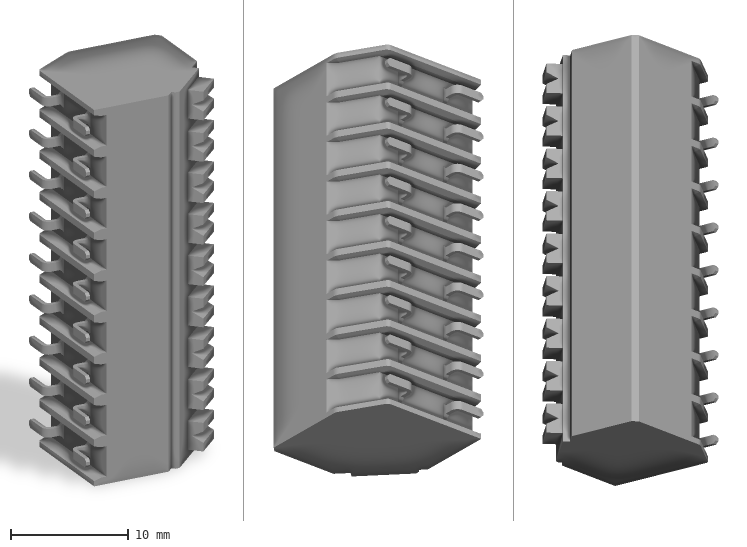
import cadquery as cq
import math


height = 34.68
width = 12.7
depth = 12.9
poles = 9
pitch = 3.8
end_margin = (height - poles * pitch) / 2
back_chamfer = 0.45
foot_chamfer_x = 2.45
foot_chamfer_y = 4.13
foot_round = 0.5
side_round = 1.0

slope_start_x = 6.97
slope_sum = slope_start_x + depth
band_start_run = 1.05
band_rise = 0.45
band_end_x = 12.38
band_end_run = 0.55

recess_depth = 1.18
rib_tip_thickness = 0.62
rib_root_thickness = 1.0
rib_taper_depth = 0.65
rib_reach = 6.95

presser_offset = 0.1
presser_length = 3.1
presser_height = 1.4
presser_width = 2.65
groove_half_width = 0.52
groove_depth = 1.05

leg_thickness = 0.38
leg_width = 0.8
leg_root_width = 1.53
leg_bend_radius = 0.7
leg_drop = 0.62
leg_mid_x = 7.15
leg_outer_reach = 5.27
leg_inner_reach = 2.3
leg_embed = 0.35
toe_chamfer = 0.25


def housing_outline():
    """Full cross-section of the housing."""
    band_x = slope_start_x + band_start_run
    band_y = depth - band_start_run
    band_sum = slope_sum + 2 * band_rise
    after_x = width - band_end_run
    after_y = slope_sum - after_x
    lip = band_end_x - after_x
    return [
        (foot_chamfer_x, 0),
        (width, 0),
        (width, slope_sum - width),
        (after_x, after_y),
        (band_end_x, after_y + lip),
        (band_end_x, band_sum - band_end_x),
        (band_x + band_rise, band_y + band_rise),
        (band_x, band_y),
        (slope_start_x, depth),
        (back_chamfer, depth),
        (0, depth - back_chamfer),
        (0, foot_chamfer_y),
    ]


def make_envelope():
    """Housing without recesses, with its two mounting-side corners rounded."""
    block = cq.Workplane("XY").polyline(housing_outline()).close().extrude(height)
    block = block.edges(cq.NearestToPointSelector((foot_chamfer_x, 0, height / 2))).fillet(foot_round)
    return block.edges(cq.NearestToPointSelector((0, foot_chamfer_y, height / 2))).fillet(side_round)


def make_recess_cutter():
    """Full-height strip between the outer faces and the recess floor."""
    return (
        cq.Workplane("XY")
        .polyline([
            (0, foot_chamfer_y + recess_depth),
            (foot_chamfer_x, recess_depth),
            (width, recess_depth),
            (width, 0),
            (0, 0),
        ])
        .close()
        .extrude(height)
    )


def make_rib(z):
    """Plate with its mid-plane at z, tapering towards its outer edges."""
    overhang = 2 * rib_taper_depth
    outline = [
        (0, foot_chamfer_y),
        (foot_chamfer_x, 0),
        (width + overhang, 0),
        (width + overhang, rib_reach),
        (0, rib_reach),
    ]
    flank = (rib_root_thickness - rib_tip_thickness) / 2
    taper = math.degrees(math.atan2(rib_taper_depth, flank))
    tip_half = rib_tip_thickness / 2
    half = (
        cq.Workplane("XY").polyline(outline).close().extrude(tip_half)
        .union(
            cq.Workplane("XY").workplane(offset=tip_half)
            .polyline(outline).close().extrude(flank, taper=taper)
        )
    )
    return half.union(half.mirror("XY")).translate((0, 0, z))


def make_presser(z):
    """Block standing on the raised band, split by a V groove along the band."""
    band_corner_x = slope_start_x + band_start_run + band_rise
    band_corner_y = depth - band_start_run + band_rise
    band_plane = cq.Plane(origin=(band_corner_x, band_corner_y, z), xDir=(1, -1, 0), normal=(1, 1, 0))
    block = (
        cq.Workplane(band_plane)
        .center(presser_offset + presser_length / 2, 0)
        .rect(presser_length, presser_width)
        .extrude(presser_height)
    )
    end_plane = cq.Plane(origin=band_plane.origin, xDir=(0, 0, -1), normal=(1, -1, 0))
    groove = (
        cq.Workplane(end_plane)
        .polyline([
            (-groove_half_width, presser_height),
            (groove_half_width, presser_height),
            (0, presser_height - groove_depth),
        ])
        .close()
        .extrude(presser_offset + presser_length)
    )
    return block.cut(groove)


def make_leg(z):
    """Right-hand gull-wing leg: flared riser, bend and flat foot with a chamfered toe."""
    riser_x = leg_mid_x + leg_inner_reach
    toe_x = leg_mid_x + leg_outer_reach
    top_y = recess_depth + leg_embed
    strip = (
        cq.Workplane("XY").workplane(offset=z - leg_root_width / 2)
        .polyline([
            (riser_x, top_y),
            (riser_x, -leg_drop),
            (toe_x, -leg_drop),
            (toe_x, leg_thickness - leg_drop),
            (riser_x + leg_thickness, leg_thickness - leg_drop),
            (riser_x + leg_thickness, top_y),
        ])
        .close()
        .extrude(leg_root_width)
    )
    outer_corner = (riser_x, -leg_drop, z)
    inner_corner = (riser_x + leg_thickness, leg_thickness - leg_drop, z)
    strip = strip.edges(cq.NearestToPointSelector(outer_corner)).fillet(leg_bend_radius)
    strip = strip.edges(cq.NearestToPointSelector(inner_corner)).fillet(leg_bend_radius - leg_thickness)

    half_foot = leg_width / 2
    half_root = leg_root_width / 2
    flare = half_root - half_foot
    half_width = [
        (half_root, -top_y),
        (half_root, -recess_depth),
        (half_foot, flare - recess_depth),
        (half_foot, leg_drop),
    ]
    right_edge = [(-y, z + half) for half, y in half_width]
    left_edge = [(-y, z - half) for half, y in reversed(half_width)]
    front_profile = (
        cq.Workplane("YZ").workplane(offset=riser_x)
        .polyline(right_edge + left_edge).close().extrude(toe_x - riser_x)
    )
    return strip.intersect(front_profile).edges(">X and |Y").chamfer(toe_chamfer)


envelope = make_envelope()
ribs = make_rib(end_margin)
for rib_index in range(1, poles + 1):
    ribs = ribs.union(make_rib(end_margin + rib_index * pitch))

result = envelope.cut(make_recess_cutter()).union(ribs.intersect(envelope))

for pole in range(poles):
    pole_z = end_margin + (pole + 0.5) * pitch
    right_leg = make_leg(pole_z)
    left_leg = right_leg.mirror("YZ", (leg_mid_x, 0, 0))
    result = result.union(make_presser(pole_z)).union(right_leg).union(left_leg)